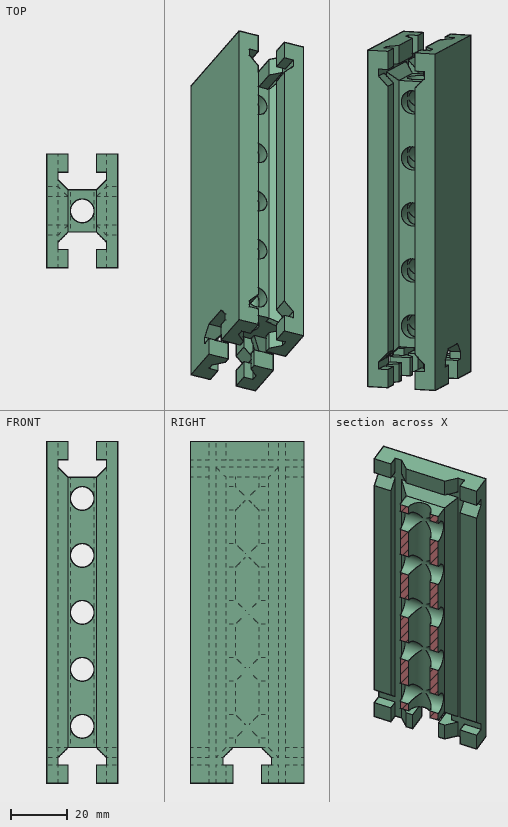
import cadquery as cq

WIDTH = 25.0
DEPTH = 40.0
HEIGHT = 120.0

SLOT_MOUTH = 10.0
SLOT_CAVITY = 17.0
SLOT_LIP = 6.5
SLOT_TAPER_START = 9.0
SLOT_DEPTH = 12.5

HOLE_DIAMETER = 8.25
HOLE_SPACING = 20.0
HOLE_COUNT = 5


def slot_cutter(plane, face_distance, length):
    """T-slot prism centred on the plane, opening along the plane's local +Y."""
    mouth = SLOT_MOUTH / 2
    cavity = SLOT_CAVITY / 2
    lip = face_distance - SLOT_LIP
    taper = face_distance - SLOT_TAPER_START
    floor = face_distance - SLOT_DEPTH
    outline = [
        (mouth, face_distance),
        (mouth, lip),
        (cavity, lip),
        (cavity, taper),
        (mouth, floor),
        (-mouth, floor),
        (-cavity, taper),
        (-cavity, lip),
        (-mouth, lip),
        (-mouth, face_distance),
    ]
    return cq.Workplane(plane).polyline(outline).close().extrude(length / 2, both=True)


def slot_plane(opening, run):
    """Plane whose local Y is the opening direction and whose normal is the run direction."""
    across = cq.Vector(*opening).cross(cq.Vector(*run))
    return cq.Plane(origin=(0, 0, 0), xDir=across, normal=run)


def cross_holes():
    """Row of holes along Z, each running through the block along Y."""
    return (
        cq.Workplane("XZ")
        .rarray(1, HOLE_SPACING, 1, HOLE_COUNT)
        .circle(HOLE_DIAMETER / 2)
        .extrude(DEPTH / 2, both=True)
    )


def long_hole():
    """Central hole running the full height."""
    return cq.Workplane("XY").circle(HOLE_DIAMETER / 2).extrude(HEIGHT / 2, both=True)


SLOTS = [
    ((0, -1, 0), (0, 0, 1), DEPTH / 2, HEIGHT),
    ((0, 1, 0), (0, 0, 1), DEPTH / 2, HEIGHT),
    ((0, 0, 1), (0, 1, 0), HEIGHT / 2, DEPTH),
    ((0, 0, -1), (0, 1, 0), HEIGHT / 2, DEPTH),
    ((0, 0, -1), (1, 0, 0), HEIGHT / 2, WIDTH),
]

result = cq.Workplane("XY").box(WIDTH, DEPTH, HEIGHT)
for opening, run, face_distance, length in SLOTS:
    result = result.cut(slot_cutter(slot_plane(opening, run), face_distance, length))
result = result.cut(cross_holes()).cut(long_hole())